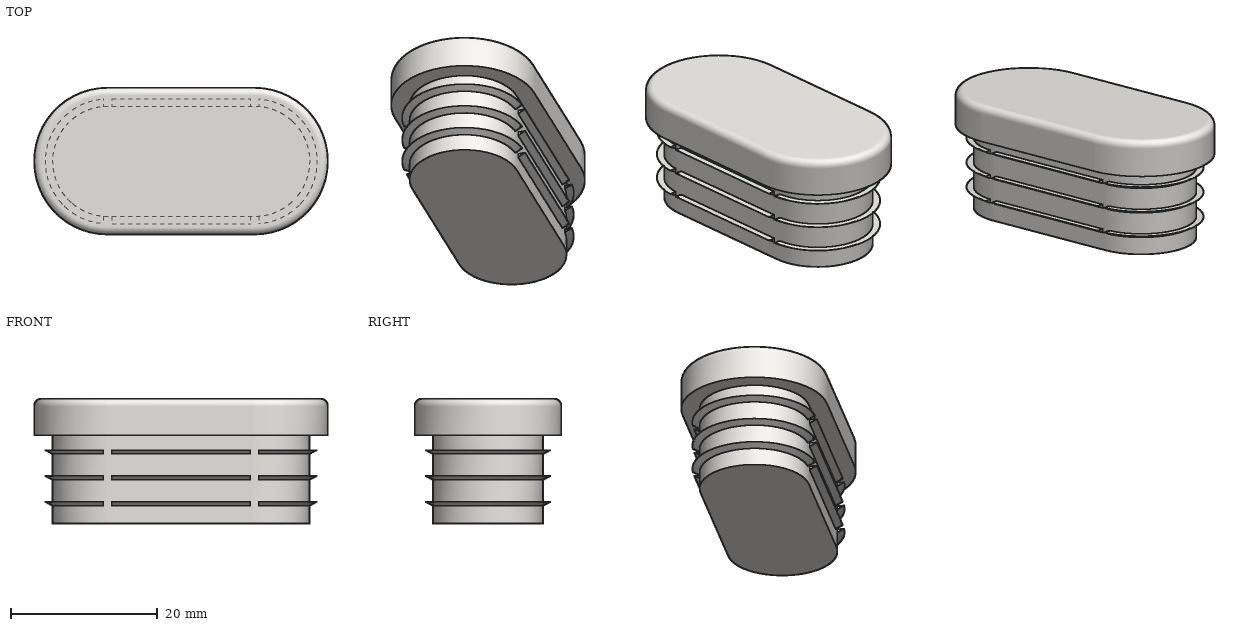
import cadquery as cq

length = 40.0
width = 20.0
cap_height = 5.0
cap_edge_radius = 1.0

total_height = 17.0
plug_height = total_height - cap_height
plug_width = 15.0
straight_length = length - width
plug_length = straight_length + plug_width

fin_overhang = 1.0
fin_thickness = 0.5
first_fin_top = 10.0
fin_pitch = 3.5
fin_count = 3

fin_gap = 1.1


def obround(plane_z, outer_length, outer_width):
    """Draw a slot outline, long along X, at the given height."""
    return cq.Workplane("XY").workplane(offset=plane_z).slot2D(outer_length, outer_width)


def make_cap():
    cap = obround(plug_height, length, width).extrude(cap_height)
    return cap.faces(">Z").edges().fillet(cap_edge_radius)


def make_plug():
    return obround(0, plug_length, plug_width).extrude(plug_height)


def make_fin_gaps():
    gap_centres = [(-straight_length / 2, 0), (straight_length / 2, 0)]
    return cq.Workplane("XY").pushPoints(gap_centres).rect(fin_gap, width).extrude(total_height)


def fin_profile(plane, wall, top):
    """Triangle standing out from the plug wall; it overlaps the plug inside."""
    root = wall - fin_overhang
    return (
        cq.Workplane(plane)
        .moveTo(root, top)
        .lineTo(wall + fin_overhang, top)
        .lineTo(wall, top - fin_thickness)
        .lineTo(root, top - fin_thickness)
        .close()
    )


def make_fin(top):
    wall = plug_width / 2
    ring = fin_profile("XZ", wall, top).revolve(360, (0, 0, 0), (0, 1, 0))
    right_half = cq.Workplane("XY").box(width, 2 * width, total_height, centered=(False, True, False))
    right_end = ring.intersect(right_half).translate((straight_length / 2, 0, 0))
    back_side = fin_profile("YZ", wall, top).extrude(straight_length / 2, both=True)
    fin = right_end.union(right_end.mirror("YZ"))
    fin = fin.union(back_side).union(back_side.mirror("XZ"))
    return fin.cut(make_fin_gaps())


result = make_cap().union(make_plug())
for index in range(fin_count):
    result = result.union(make_fin(first_fin_top - index * fin_pitch))